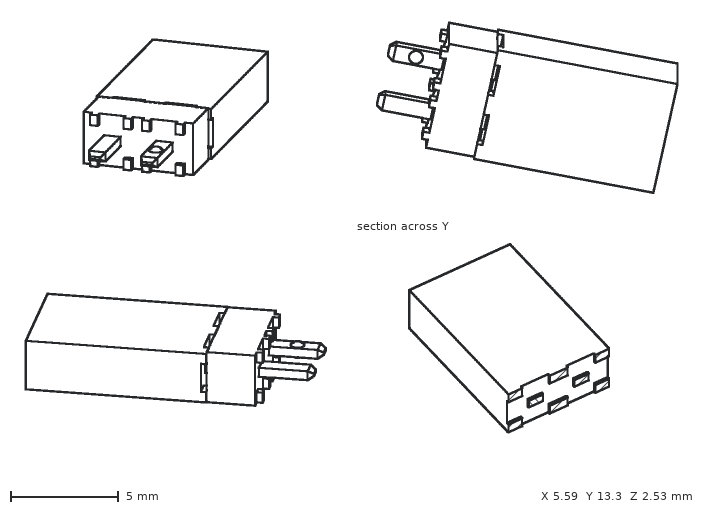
import cadquery as cq


total_length = 13.34
pin_pitch = 2.53
pin_exposed = 2.56

base_width = 5.34
base_length = 2.28
base_height = 2.53

foot_width = 0.37
foot_length = 0.28
foot_height = 0.52
foot_offset = 0.81

cap_width = 5.59
cap_height = 2.45
cap_length = total_length - pin_exposed - base_length
gap_depth = 0.25
top_gap_width = 1.52
side_gap_height = 1.4

pin_width = 0.8
pin_thickness = 0.45
tip_length = 0.27
tip_width = 0.51
tip_thickness = 0.12
bump_diameter = 0.79

pin_xs = [-pin_pitch / 2, pin_pitch / 2]
bump_y = -pin_exposed / 2
pin_back_y = base_length + gap_depth


def block(width, length, height, x=0, y=0, z=0):
    """Box centred on x and z that starts at y and runs towards +Y."""
    return cq.Workplane("XY").box(width, length, height, centered=(True, False, True)).translate((x, y, z))


def make_base():
    """Front part of the housing, with feet along its top and bottom edges and a hole for each pin."""
    base = block(base_width, base_length, base_height)
    foot_z = (base_height - foot_height) / 2
    for pin_x in pin_xs:
        for side in (-1, 1):
            for z in (-foot_z, foot_z):
                foot = block(foot_width, foot_length, foot_height, pin_x + side * foot_offset, -foot_length, z)
                base = base.union(foot)
        pin_hole = block(pin_width, base_length, pin_thickness, pin_x)
        base = base.cut(pin_hole)
    return base


def make_cap():
    """Rear part of the housing, with crossing gaps cut into its front face."""
    cap = block(cap_width, cap_length, cap_height, y=base_length)
    cap = cap.cut(block(cap_width, gap_depth, side_gap_height, y=base_length))
    for pin_x in pin_xs:
        cap = cap.cut(block(top_gap_width, gap_depth, cap_height, pin_x, base_length))
    return cap


def make_pin(pin_x):
    """Flat pin with a tapered tip, running back to the floor of the cap gap."""
    shaft_start = tip_length - pin_exposed
    shaft = block(pin_width, pin_back_y - shaft_start, pin_thickness, pin_x, shaft_start)
    tip = (
        cq.Workplane("XZ", origin=(pin_x, shaft_start, 0))
        .rect(pin_width, pin_thickness)
        .workplane(offset=tip_length)
        .rect(tip_width, tip_thickness)
        .loft(ruled=True)
    )
    return shaft.union(tip)


def make_bumped_pin(pin_x):
    """Pin with a round bump that stands out above and below it."""
    bump = cq.Workplane("XZ", origin=(pin_x, bump_y, 0)).sphere(bump_diameter / 2)
    return make_pin(pin_x).union(bump)


housing = make_base().union(make_cap())
plain_pin = make_pin(pin_xs[0])
bumped_pin = make_bumped_pin(pin_xs[1])

result = cq.Compound.makeCompound([housing.val(), plain_pin.val(), bumped_pin.val()])